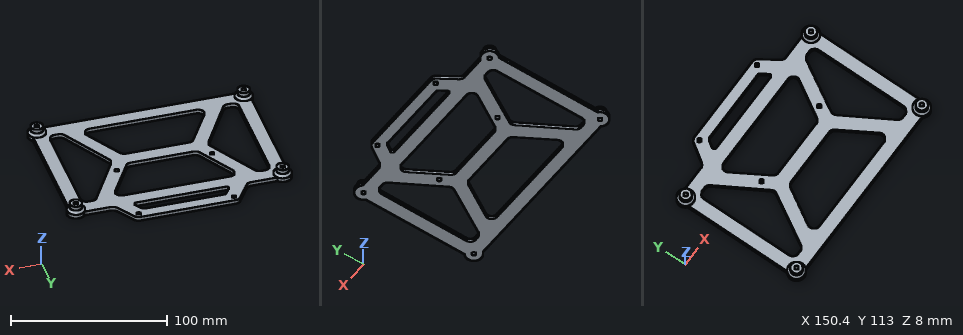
import cadquery as cq

plate_thickness = 3.0
frame_half_length = 73.1
frame_half_width = 47.5
rail_width = 10.0
cross_bar_width = 10.4
corner_radius = 4.0

inner_half_length = frame_half_length - rail_width
inner_half_width = frame_half_width - rail_width

window_long_half = 42.9
window_short_half = 23.3
side_window_base_x = 54.3
side_window_tip_x = 32.0

tab_top_y = 63.4
tab_top_half = 34.2
tab_base_half = 44.7
slot_top_y = 55.2
slot_top_half = 27.5
slot_bottom_half = 32.8
slot_corner_radius = 1.5

standoff_x = 69.2
standoff_y = 43.6
foot_radius = 6.0
post_radius = 4.0
cone_top_z = 5.0
standoff_height = 8.0

hole_diameter = 2.7
mount_x = 31.9
mount_rows_y = (10.5, 59.5)


def rounded_prism(points, radius):
    """Plate-thick prism with every upright edge rounded."""
    prism = cq.Workplane("XY").polyline(points).close().extrude(plate_thickness)
    return prism.edges("|Z").fillet(radius)


def trapezoid(half_a, y_a, half_b, y_b):
    """Corner points of a trapezoid symmetric about the Y axis."""
    return [(-half_a, y_a), (half_a, y_a), (half_b, y_b), (-half_b, y_b)]


def make_plate():
    """Frame outline with its tab; the standoff feet cover the four frame corners."""
    outline = [
        (-frame_half_length, -frame_half_width),
        (frame_half_length, -frame_half_width),
        (frame_half_length, frame_half_width),
        (tab_base_half, frame_half_width),
        (tab_top_half, tab_top_y),
        (-tab_top_half, tab_top_y),
        (-tab_base_half, frame_half_width),
        (-frame_half_length, frame_half_width),
    ]
    return rounded_prism(outline, corner_radius)


def make_windows():
    windows = rounded_prism(
        trapezoid(slot_bottom_half, frame_half_width, slot_top_half, slot_top_y),
        slot_corner_radius,
    )
    for side in (-1, 1):
        centre_window = trapezoid(
            window_long_half, side * inner_half_width,
            window_short_half, side * cross_bar_width / 2,
        )
        end_window = [
            (side * inner_half_length, -inner_half_width),
            (side * side_window_base_x, -inner_half_width),
            (side * side_window_tip_x, 0),
            (side * side_window_base_x, inner_half_width),
            (side * inner_half_length, inner_half_width),
        ]
        windows = windows.add(rounded_prism(centre_window, corner_radius))
        windows = windows.add(rounded_prism(end_window, corner_radius))
    return windows.combine()


def make_standoff():
    """Round foot, conical shoulder and cylindrical post, revolved about Z."""
    profile = [
        (0, 0),
        (foot_radius, 0),
        (foot_radius, plate_thickness),
        (post_radius, cone_top_z),
        (post_radius, standoff_height),
        (0, standoff_height),
    ]
    return cq.Workplane("XZ").polyline(profile).close().revolve(360, (0, 0), (0, 1))


standoff_points = [(sx * standoff_x, sy * standoff_y) for sx in (-1, 1) for sy in (-1, 1)]
mount_points = [(sx * mount_x, y) for sx in (-1, 1) for y in mount_rows_y]

result = make_plate().cut(make_windows())
for x, y in standoff_points:
    result = result.union(make_standoff().translate((x, y, 0)))

holes = (
    cq.Workplane("XY")
    .pushPoints(standoff_points + mount_points)
    .circle(hole_diameter / 2)
    .extrude(standoff_height)
)
result = result.cut(holes)